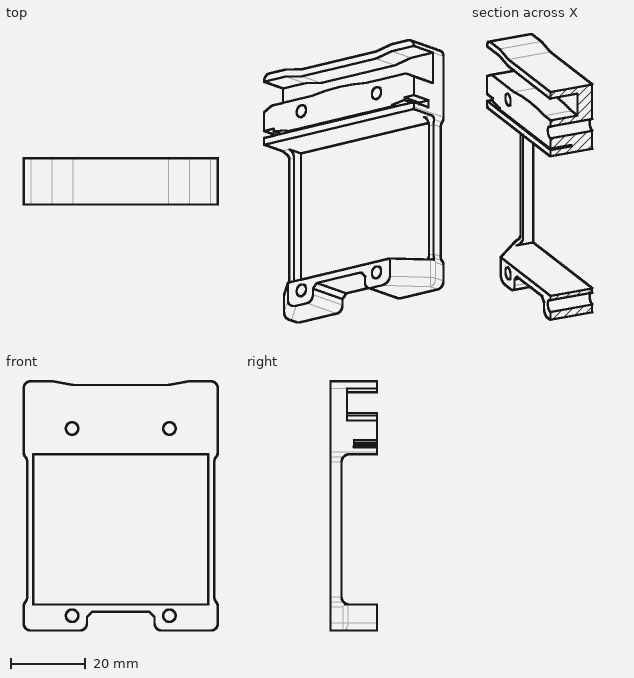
import cadquery as cq
import math


width = 52.0
depth = 12.5
height = 66.8
half_width = width / 2

opening_width = 46.75
opening_bottom = 7.0
opening_top = 47.15
bar_outer_width = 50.1
bar_depth = 3.0
blend_radius = 2.0

dip_depth = 1.0
dip_outer_x = 18.35
dip_inner_x = 12.8

notch_width = 18.0
notch_height = 5.0
notch_chamfer = 1.35

corner_chamfer = 8.35

hole_diameter = 3.3
hole_x = 13.0
lower_hole_z = 4.0
upper_hole_z = 54.1

channel_front_y = 4.5
lip_thickness = 2.0
channel_floor_z = 57.6
channel_side_z = 56.2
ramp_width = 2.75
ramp_blend_radius = 2.0
crown_rise = 0.7
crown_radius = 66.8

slot_front_y = 6.3
slot_floor_z = 49.1
slot_mouth_height = 1.95
slot_mouth_width = 3.35
slot_step_height = 1.2
slot_taper_height = 0.7
slot_center_height = 0.3

cut_margin = 0.7


def extrude_back(profile, start_y=0.0, end_y=depth):
    """Extrude a closed XZ profile from start_y to end_y."""
    return profile.extrude(start_y - end_y).translate((0, start_y, 0))


def half_outline():
    """Right half of the front outline, with a square bottom outer corner."""
    bar_x = bar_outer_width / 2
    mid_x = (bar_x + half_width) / 2
    arc_offset = half_width - mid_x
    arc_height = (blend_radius**2 - (blend_radius - arc_offset) ** 2) ** 0.5
    lower_bar_z = opening_bottom + blend_radius
    upper_bar_z = opening_top - blend_radius
    notch_x = notch_width / 2
    return (
        cq.Workplane("XZ")
        .moveTo(0, notch_height)
        .lineTo(notch_x - notch_chamfer, notch_height)
        .lineTo(notch_x, notch_height - notch_chamfer)
        .lineTo(notch_x, blend_radius)
        .tangentArcPoint((notch_x + blend_radius, 0), relative=False)
        .lineTo(half_width, 0)
        .lineTo(half_width, lower_bar_z - 2 * arc_height)
        .tangentArcPoint((mid_x, lower_bar_z - arc_height), relative=False)
        .tangentArcPoint((bar_x, lower_bar_z), relative=False)
        .lineTo(bar_x, upper_bar_z)
        .tangentArcPoint((mid_x, upper_bar_z + arc_height), relative=False)
        .tangentArcPoint((half_width, upper_bar_z + 2 * arc_height), relative=False)
        .lineTo(half_width, height - blend_radius)
        .tangentArcPoint((half_width - blend_radius, height), relative=False)
        .lineTo(dip_outer_x, height)
        .lineTo(dip_inner_x, height - dip_depth)
        .lineTo(0, height - dip_depth)
        .close()
    )


def back_recess():
    """Space behind the side bars, blended into the bars at both ends."""
    recess = cq.Workplane("XY").box(
        half_width + cut_margin, depth, opening_top - opening_bottom, centered=False
    )
    recess = recess.edges("|X and <Y").fillet(blend_radius)
    return recess.translate((0, bar_depth, opening_bottom))


def opening():
    """Right half of the rectangular opening through the frame."""
    return cq.Workplane("XY").box(
        opening_width / 2, depth, opening_top - opening_bottom, centered=False
    ).translate((0, 0, opening_bottom))


def bottom_corner_cut():
    """Plan wedge that bevels the back corner of the bottom block and rounds it into the side."""
    bevel_start_y = depth - corner_chamfer
    tangent_length = blend_radius * math.tan(math.pi / 8)
    tangent_leg = tangent_length * math.cos(math.pi / 4)
    return (
        cq.Workplane("XY")
        .moveTo(half_width - corner_chamfer, depth)
        .lineTo(half_width - tangent_leg, bevel_start_y + tangent_leg)
        .tangentArcPoint((half_width, bevel_start_y - tangent_length), relative=False)
        .lineTo(half_width, depth)
        .close()
        .extrude(opening_bottom + blend_radius)
    )


def channel():
    """Right half of the open channel: dipped roof, and a floor with a ramp and a low crown."""
    roof_z = height - lip_thickness
    outside_x = half_width + cut_margin
    ramp_top_x = half_width - ramp_width
    crown_x = (crown_radius**2 - (crown_radius - crown_rise) ** 2) ** 0.5
    profile = (
        cq.Workplane("XZ")
        .moveTo(crown_x, channel_floor_z)
        .lineTo(ramp_top_x, channel_floor_z)
        .lineTo(half_width, channel_side_z)
        .lineTo(outside_x, channel_side_z)
        .lineTo(outside_x, roof_z)
        .lineTo(dip_outer_x, roof_z)
        .lineTo(dip_inner_x, roof_z - dip_depth)
        .lineTo(0, roof_z - dip_depth)
        .lineTo(0, channel_floor_z + crown_rise)
        .radiusArc((crown_x, channel_floor_z), crown_radius)
        .close()
    )
    space = extrude_back(profile, channel_front_y)
    channel_mid_y = (channel_front_y + depth) / 2
    ramp_edge = cq.selectors.NearestToPointSelector((ramp_top_x, channel_mid_y, channel_floor_z))
    return space.edges(ramp_edge).fillet(ramp_blend_radius)


def slot():
    """Right half of the narrow slot, wide at its mouth and lowered in steps towards the middle."""
    mouth_x = half_width - slot_mouth_width
    outside_x = half_width + cut_margin
    profile = (
        cq.Workplane("XZ")
        .moveTo(0, slot_floor_z)
        .lineTo(outside_x, slot_floor_z)
        .lineTo(outside_x, slot_floor_z + slot_mouth_height)
        .lineTo(mouth_x, slot_floor_z + slot_mouth_height)
        .lineTo(mouth_x, slot_floor_z + slot_step_height)
        .lineTo(dip_outer_x, slot_floor_z + slot_taper_height)
        .lineTo(dip_outer_x, slot_floor_z + slot_center_height)
        .lineTo(0, slot_floor_z + slot_center_height)
        .close()
    )
    return extrude_back(profile, slot_front_y)


def screw_hole(z):
    """Through hole at height z."""
    return extrude_back(cq.Workplane("XZ").center(hole_x, z).circle(hole_diameter / 2))


side_bottom_edge = cq.selectors.NearestToPointSelector((half_width, bar_depth / 2, 0))
half = extrude_back(half_outline()).cut(bottom_corner_cut())
half = half.edges(side_bottom_edge).fillet(blend_radius)
half = half.cut(back_recess()).cut(opening())

half = half.cut(channel()).cut(slot())

for hole_z in (lower_hole_z, upper_hole_z):
    half = half.cut(screw_hole(hole_z))

result = half.union(half.mirror("YZ")).clean()